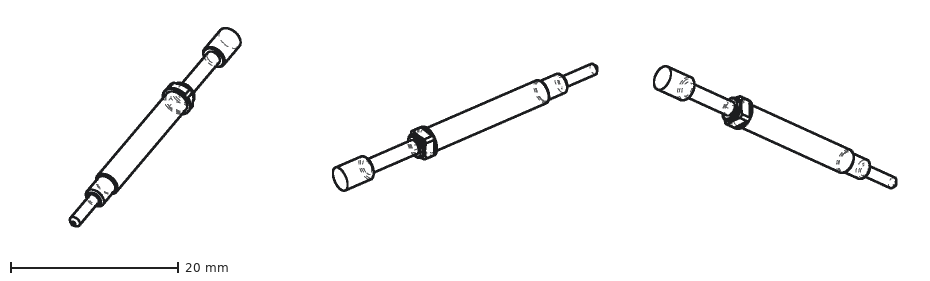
import cadquery as cq
import math


head_diameter = 3.0
head_length = 4.0
head_chamfer = 0.15
head_end_y = 13.0
head_base_y = head_end_y - head_length
shaft_diameter = 1.8

neck_diameter = 3.0
collar_end_y = 2.0
neck_chamfer = 0.2
square_top_y = 1.5
square_across_flats = neck_diameter
bevel_angle = 22

flange_diameter = 3.75
flange_thickness = 0.2

barrel_diameter = 3.0
barrel_end_y = -17.0
barrel_chamfer_length = 0.15
barrel_chamfer_width = 0.1
sleeve_diameter = 2.5
sleeve_end_y = -20.0
sleeve_chamfer = 0.25

pin_diameter = 1.4
pin_end_y = -25.0
tip_diameter = 0.6
tip_length = 0.4


def rod(diameter, start_y, end_y):
    """Cylinder on the Y axis running from start_y up to end_y."""
    start_plane = cq.Plane(origin=(0, start_y, 0), xDir=(1, 0, 0), normal=(0, 1, 0))
    return cq.Workplane(start_plane).circle(diameter / 2).extrude(end_y - start_y)


def make_plunger():
    head = rod(head_diameter, head_base_y, head_end_y).faces("<Y").chamfer(head_chamfer)
    shaft = rod(shaft_diameter, collar_end_y, head_base_y)
    return head.union(shaft)


def make_key_square():
    """Square with corners rounded to the flange diameter and beveled on top."""
    bevel_width = (flange_diameter - neck_diameter) / 2
    bevel_height = bevel_width * math.tan(math.radians(bevel_angle))
    blank = rod(flange_diameter, 0, square_top_y)
    blank = blank.faces(">Y").chamfer(bevel_height, bevel_width)
    square = cq.Workplane("XZ").rect(square_across_flats, square_across_flats).extrude(-square_top_y)
    return blank.intersect(square)


def make_collar():
    neck = rod(neck_diameter, 0, collar_end_y).faces(">Y").chamfer(neck_chamfer)
    flange = rod(flange_diameter, 0, flange_thickness)
    return neck.union(make_key_square()).union(flange)


def make_barrel():
    barrel = rod(barrel_diameter, barrel_end_y, 0)
    barrel = barrel.faces("<Y").chamfer(barrel_chamfer_length, barrel_chamfer_width)
    sleeve = rod(sleeve_diameter, sleeve_end_y, barrel_end_y).faces("<Y").chamfer(sleeve_chamfer)
    return barrel.union(sleeve)


def make_pin():
    tip_width = (pin_diameter - tip_diameter) / 2
    return rod(pin_diameter, pin_end_y, sleeve_end_y).faces("<Y").chamfer(tip_length, tip_width)


result = make_plunger().union(make_collar()).union(make_barrel()).union(make_pin())